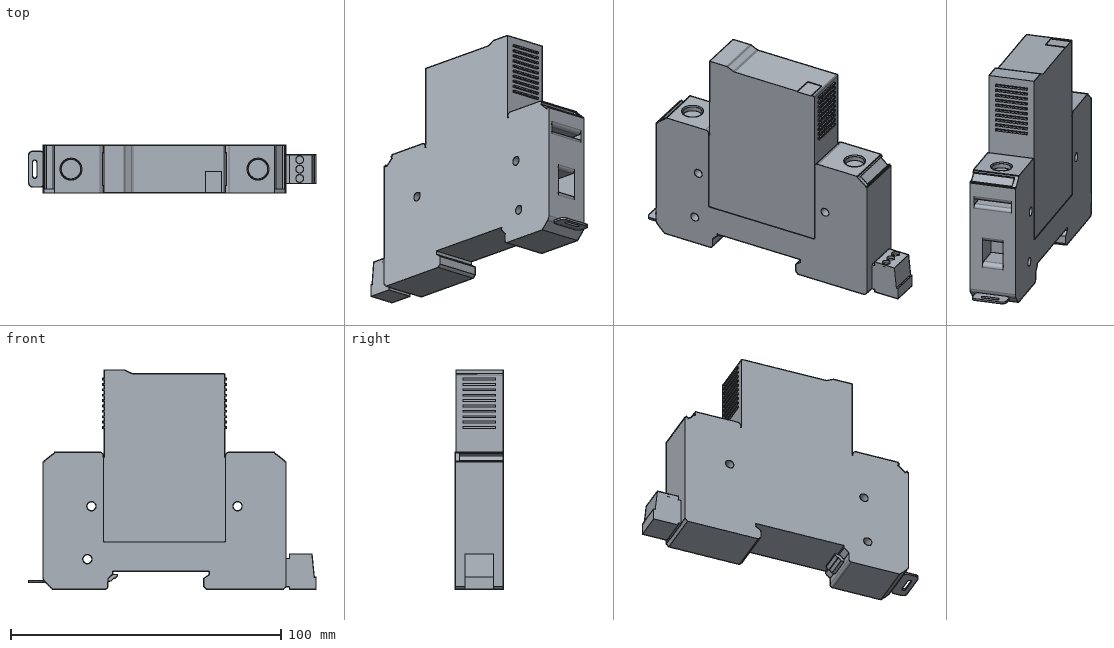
import cadquery as cq
import math


depth = 17.8
half_depth = depth / 2
half_width = 45.0
shoulder_top = 50.7
top_bevel_x = 4.3
top_bevel_z = 3.6
bottom_left_bevel = 3.6
bottom_left_radius = 2.3
bottom_right_bevel = 1.1
bevel_lip_width = 0.4
bevel_lip_height = 0.3
inner_edge_radius = 1.4

rail_left = -19.0
rail_right = 16.5
rail_ceiling = 6.7
left_foot_edge = -21.0
left_foot_slope_low = 3.9
left_foot_slope_high = 5.7
right_foot_edge = 14.5
right_foot_slope_low = 4.0
right_foot_slope_high = 5.4
foot_corner = 1.1

plug_half_width = 22.3
plug_top = 81.2
plug_lower_top = 79.8
plug_step_start = -14.8
plug_step_end = -11.9
plug_step_radius = 1.1
plug_right_corner = 0.4
plug_setback = 0.2
seat_half_width = 22.6
seat_floor = 17.6
seat_corner = 0.4
seat_gap_floor = 48.9

window_left = 15.1
window_right = 21.1
window_length = 7.8
window_depth = 0.2

rib_count = 10
rib_row_length = 17.9
rib_pitch = rib_row_length / (rib_count - 1)
rib_top_center = 77.8
rib_height = 0.6
rib_projection = 0.6
rib_length = 12.1

label_wall = 1.6
label_margin = 0.9
label_recess = 1.1

terminal_x = 34.6
terminal_radius = 3.6
terminal_bevel = 0.4
terminal_depth = 2.1

rivet_diameter = 3.3
rivet_places = [(-27.0, 30.7), (27.0, 30.7), (-28.5, 11.2)]

slot_width = 14.6
slot_bottom = 37.2
slot_top = 41.9
slot_depth = 6.4
slot_top_round = 1.5
slot_bottom_round = 1.3
wire_width = 8.1
wire_bottom = 13.9
wire_top = 25.7
wire_depth = 10.6
wire_top_round = 1.3
wire_bottom_round = 1.7

tab_left = -50.3
tab_right = -44.3
tab_width = 13.3
tab_bottom = 2.6
tab_thickness = 0.7
tab_corner = 1.7
tab_slot_x = -48.0
tab_slot_width = 1.5
tab_slot_length = 6.7
clip_width = 8.5
clip_root_bottom = 2.9
clip_root_top = 4.5
clip_top = 5.5
clip_tip_x = -17.3
clip_tip_bottom = 5.0
clip_hook_end = (-19.8, 3.1)
clip_notch_inner = (-18.7, 4.1)
clip_notch_outer = (-18.4, 3.9)

connector_width = 10.6
connector_left = 46.2
connector_right = 56.1
connector_top = 13.1
connector_top_right = 54.6
connector_slope_end = 55.4
connector_ledge = 4.6
neck_bottom = 1.0
neck_top = 11.5
pin_x = 50.0
pin_row_length = 6.9
pin_diameter = 2.9
pin_depth = 1.1

overlap = 1.1
pick_margin = 0.1


def prism(points, y_front, y_back):
    """Extrude an XZ outline from y_front to y_back."""
    outline = cq.Workplane("XZ", origin=(0, y_front, 0)).polyline(points).close()
    return outline.extrude(y_front - y_back)


def block(x_min, x_max, y_min, y_max, z_min, z_max):
    """Box between the given limits."""
    size = (x_max - x_min, y_max - y_min, z_max - z_min)
    return cq.Workplane("XY").box(*size, centered=False).translate((x_min, y_min, z_min))


def edges_near(x_min, x_max, z_min, z_max):
    """Selector for edges along Y whose middle lies in the given XZ range."""
    box = cq.selectors.BoxSelector(
        (x_min - pick_margin, -half_depth, z_min - pick_margin),
        (x_max + pick_margin, half_depth, z_max + pick_margin),
    )
    return cq.selectors.AndSelector(cq.selectors.ParallelDirSelector(cq.Vector(0, 1, 0)), box)


def make_housing():
    bevel_start = shoulder_top - top_bevel_z
    shoulder_edge = half_width - top_bevel_x
    ledge = half_width - bevel_lip_width
    outline = [
        (-half_width, bottom_left_bevel),
        (-half_width, bevel_start),
        (-ledge, bevel_start),
        (-ledge, bevel_start + bevel_lip_height),
        (-shoulder_edge, shoulder_top - bevel_lip_height),
        (-shoulder_edge, shoulder_top),
        (-seat_half_width, shoulder_top),
        (-seat_half_width, seat_gap_floor),
        (seat_half_width, seat_gap_floor),
        (seat_half_width, shoulder_top),
        (shoulder_edge, shoulder_top),
        (shoulder_edge, shoulder_top - bevel_lip_height),
        (ledge, bevel_start + bevel_lip_height),
        (ledge, bevel_start),
        (half_width, bevel_start),
        (half_width, bottom_right_bevel),
        (half_width - bottom_right_bevel, 0),
        (right_foot_edge + foot_corner, 0),
        (right_foot_edge, foot_corner),
        (right_foot_edge, right_foot_slope_low),
        (rail_right, right_foot_slope_high),
        (rail_right, rail_ceiling),
        (rail_left, rail_ceiling),
        (rail_left, left_foot_slope_high),
        (left_foot_edge, left_foot_slope_low),
        (left_foot_edge, 0),
        (-half_width + bottom_left_bevel, 0),
    ]
    housing = prism(outline, -half_depth, half_depth)
    inner_edges = edges_near(-seat_half_width, seat_half_width, shoulder_top, shoulder_top)
    bevel_corner = edges_near(-half_width, -half_width, bottom_left_bevel, bottom_left_bevel)
    foot_edge = edges_near(left_foot_edge, left_foot_edge, 0, 0)
    housing = housing.edges(inner_edges).fillet(inner_edge_radius)
    housing = housing.edges(bevel_corner).fillet(bottom_left_radius)
    housing = housing.edges(foot_edge).fillet(foot_corner)
    seat_front = block(-seat_half_width, seat_half_width, -half_depth, -half_depth + plug_setback,
                       seat_floor, shoulder_top)
    return housing.cut(seat_front.edges("|Y and <Z").fillet(seat_corner))


def make_plug():
    outline = [
        (-plug_half_width, seat_floor),
        (-plug_half_width, plug_top),
        (plug_step_start, plug_top),
        (plug_step_end, plug_lower_top),
        (plug_half_width, plug_lower_top),
        (plug_half_width, seat_floor),
    ]
    front = -half_depth + plug_setback
    plug = prism(outline, front, half_depth)
    step_edges = edges_near(plug_step_start, plug_step_end, plug_lower_top, plug_top)
    plug = plug.edges(step_edges).fillet(plug_step_radius)
    plug = plug.faces(">X").edges(">Z").fillet(plug_right_corner)
    window = block(window_left, window_right, front, front + window_length,
                   plug_lower_top - window_depth, plug_lower_top)
    plug = plug.cut(window)
    reach = plug_half_width + rib_projection
    for i in range(rib_count):
        z = rib_top_center - i * rib_pitch
        plug = plug.union(cq.Workplane("XY").box(2 * reach, rib_length, rib_height).translate((0, 0, z)))
    return plug


def make_label_recess():
    """Cutter sunk at right angles into the left top bevel, open at the back."""
    length = math.hypot(top_bevel_x, top_bevel_z)
    along = (top_bevel_x / length, top_bevel_z / length)
    inward = (along[1], -along[0])

    def point(distance, sink):
        x = -half_width + distance * along[0] + sink * inward[0]
        z = shoulder_top - top_bevel_z + distance * along[1] + sink * inward[1]
        return (x, z)

    outline = [
        point(label_margin, -label_recess),
        point(length - label_margin, -label_recess),
        point(length - label_margin, label_recess),
        point(label_margin, label_recess),
    ]
    return prism(outline, -half_depth + label_wall, half_depth)


def make_terminal_hole(x):
    hole = cq.Workplane("XY").circle(terminal_radius).extrude(-terminal_depth)
    rim = cq.Workplane("XY").circle(terminal_radius + terminal_bevel)
    rim = rim.workplane(offset=-terminal_bevel).circle(terminal_radius).loft()
    return hole.union(rim).translate((x, 0, shoulder_top))


def make_end_opening(width, z_bottom, z_top, pocket_depth, bottom_round, top_round):
    """Pocket in the left end whose upper and lower lips are rounded over."""
    face = -half_width
    back = face + pocket_depth
    diagonal = math.sqrt(0.5)
    lower_mid = (face + bottom_round * (1 - diagonal), z_bottom + bottom_round * diagonal)
    upper_mid = (face + top_round * (1 - diagonal), z_top - top_round * diagonal)
    outline = (
        cq.Workplane("XZ", origin=(0, width / 2, 0))
        .moveTo(face, z_bottom)
        .threePointArc(lower_mid, (face + bottom_round, z_bottom + bottom_round))
        .lineTo(back, z_bottom + bottom_round)
        .lineTo(back, z_top - top_round)
        .lineTo(face + top_round, z_top - top_round)
        .threePointArc(upper_mid, (face, z_top))
        .close()
    )
    return outline.extrude(width)


def make_tab():
    tab = block(tab_left, tab_right, -tab_width / 2, tab_width / 2, tab_bottom, tab_bottom + tab_thickness)
    tab = tab.edges("|Z").fillet(tab_corner)
    slot = cq.Workplane("XY", origin=(tab_slot_x, 0, tab_bottom))
    return tab.cut(slot.slot2D(tab_slot_length, tab_slot_width, 90).extrude(tab_thickness))


def make_clip():
    root = left_foot_edge - overlap
    outline = [
        (root, clip_root_bottom),
        (left_foot_edge, clip_root_bottom),
        clip_hook_end,
        clip_notch_inner,
        clip_notch_outer,
        (clip_tip_x, clip_tip_bottom),
        (clip_tip_x, clip_top),
        (rail_left, clip_top),
        (root, clip_root_top),
    ]
    return prism(outline, -clip_width / 2, clip_width / 2)


def make_connector():
    outline = [
        (connector_left, 0),
        (connector_right, 0),
        (connector_right, connector_ledge),
        (connector_slope_end, connector_ledge),
        (connector_top_right, connector_top),
        (connector_left, connector_top),
    ]
    half = connector_width / 2
    connector = prism(outline, -half, half)
    neck = block(half_width - overlap, connector_left, -half, half, neck_bottom, neck_top)
    connector = connector.union(neck)
    for y in (-pin_row_length / 2, 0, pin_row_length / 2):
        pin = cq.Workplane("XY", origin=(pin_x, y, connector_top - pin_depth))
        connector = connector.cut(pin.circle(pin_diameter / 2).extrude(pin_depth))
    return connector


result = make_housing().union(make_plug())
label_recess_cutter = make_label_recess()
result = result.cut(label_recess_cutter).cut(label_recess_cutter.mirror("YZ"))
for terminal in (-terminal_x, terminal_x):
    result = result.cut(make_terminal_hole(terminal))
rivet_plane = cq.Workplane("XZ", origin=(0, -half_depth, 0)).pushPoints(rivet_places)
result = result.cut(rivet_plane.circle(rivet_diameter / 2).extrude(-depth))
result = result.cut(make_end_opening(slot_width, slot_bottom, slot_top, slot_depth,
                                     slot_bottom_round, slot_top_round))
result = result.cut(make_end_opening(wire_width, wire_bottom, wire_top, wire_depth,
                                     wire_bottom_round, wire_top_round))
result = result.union(make_tab()).union(make_clip()).union(make_connector())